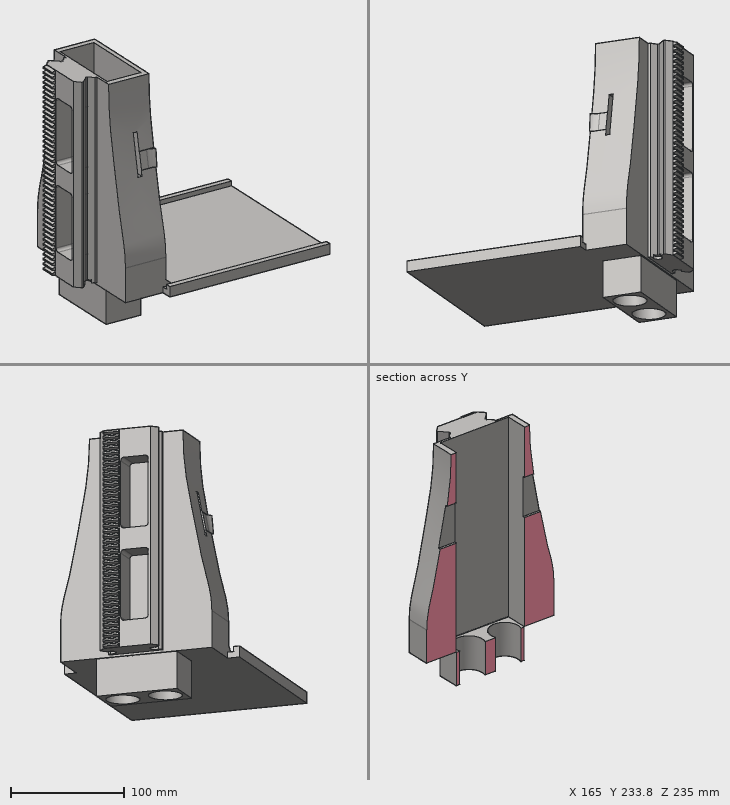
import cadquery as cq


TRAY_WIDTH = 165.0
TOTAL_DEPTH = 233.83
TOTAL_HEIGHT = 234.95

TOWER_HEIGHT = 200.95
TOWER_DEPTH = 42.5
TOWER_TOP_WIDTH = 88.0
TOWER_BASE_WIDTH = 142.5
TOWER_STRAIGHT_HEIGHT = 33.6
FLANK_POINTS = [(63.9, 74.0), (55.2, 115.4)]

SOCKET_WIDTH = 76.0
SOCKET_DEPTH = 36.4
SOCKET_FRONT_SETBACK = 1.3
SOCKET_HOLE_DIAMETER = 30.0
SOCKET_HOLE_SPACING = 40.0
SOCKET_HOLE_Y = 20.0

DUCT_FRONT_WALL = 2.3

TRAY_INSET = 3.1
TRAY_LENGTH = 168.3
TRAY_THICKNESS = 5.6
TRAY_RIM_WIDTH = 5.7
TRAY_RIM_HEIGHT = 10.2
BRACE_DEPTH = 7.6
BRACE_TOP_Z = 12.0

STRAP_SLOT_SETBACK = 15.4
STRAP_SLOT_DEPTH = 4.0
STRAP_SLOT_BOTTOM_Z = 110.0
STRAP_SLOT_HEIGHT = 40.0

FLARE_BOTTOM_Z = 115.5
FLARE_HEIGHT = 17.0
FLARE_RUN = 8.0
FLARE_ROOT_HALF_WIDTH = 42.0
FLARE_TOP_TOE = 52.2
FLARE_BOTTOM_TOE = 55.6
FLARE_TOP_LIP = 55.4
FLARE_BOTTOM_LIP = 56.9

RAIL_BOTTOM_Z = 2.0
RAIL_PROJECTION = 22.6
RAIL_ROOT_HALF_WIDTH = 25.1
RAIL_NECK_HALF_WIDTH = 20.2
RAIL_HEAD_HALF_WIDTH = 27.4
RAIL_FACE_HALF_WIDTH = 21.8
RAIL_ROOT_STEP = 2.2
RAIL_NECK_START = 6.5
RAIL_NECK_END = 8.4
RAIL_HEAD_START = 15.7
RAIL_HEAD_END = 17.1

RACK_LEFT_X = -21.6
RACK_WIDTH = 14.6
RACK_TEETH = 42
RACK_PITCH = 4.75
RACK_FIRST_Z = 4.0
TOOTH_ROOT = 3.6
TOOTH_TIP = 1.5

WINDOW_LEFT_X = -6.0
WINDOW_WIDTH = 25.8
WINDOW_HEIGHT = 64.5
WINDOW_CENTRE_Z = (58.4, 142.6)
WINDOW_CORNER_RADIUS = 3.0

POCKET_DIAMETER = 8.0
POCKET_DEPTH = 2.6
POCKET_Y = -7.2

SOCKET_HEIGHT = TOTAL_HEIGHT - TOWER_HEIGHT
SOCKET_BACK_Y = SOCKET_FRONT_SETBACK + SOCKET_DEPTH
RAIL_HEIGHT = TOWER_HEIGHT - RAIL_BOTTOM_Z
STRAP_SLOT_BACK_Y = TOWER_DEPTH - STRAP_SLOT_SETBACK
TRAY_FRONT_Y = TOWER_DEPTH - TRAY_INSET
TRAY_BACK_Y = TRAY_FRONT_Y + TRAY_LENGTH
TOOTH_HEIGHT = TOTAL_DEPTH - TRAY_BACK_Y - RAIL_PROJECTION


def box(x_min, x_max, y_min, y_max, z_min, z_max):
    """Axis-aligned block between the given limits."""
    size = (x_max - x_min, y_max - y_min, z_max - z_min)
    return cq.Workplane("XY").box(*size, centered=False).translate((x_min, y_min, z_min))


def tower_body():
    """Flat-fronted tower with straight lower sides and S-curved flanks."""
    base = TOWER_BASE_WIDTH / 2
    top = TOWER_TOP_WIDTH / 2
    straight_top = TOWER_STRAIGHT_HEIGHT
    left_flank = [(-x, z) for x, z in reversed(FLANK_POINTS)]
    up = (0, 1)
    down = (0, -1)
    return (
        cq.Workplane("XZ", origin=(0, TOWER_DEPTH, 0))
        .moveTo(-base, 0)
        .lineTo(base, 0)
        .lineTo(base, straight_top)
        .spline(
            FLANK_POINTS + [(top, TOWER_HEIGHT)],
            tangents=[up, up],
            includeCurrent=True,
        )
        .lineTo(-top, TOWER_HEIGHT)
        .spline(
            left_flank + [(-base, straight_top)],
            tangents=[down, down],
            includeCurrent=True,
        )
        .close()
        .extrude(TOWER_DEPTH)
    )


def socket():
    """Block under the tower that takes the two round tubes."""
    half = SOCKET_WIDTH / 2
    return box(-half, half, SOCKET_FRONT_SETBACK, SOCKET_BACK_Y, -SOCKET_HEIGHT, 0)


def duct_void():
    """Rectangular void from the tower top down to the socket."""
    half = SOCKET_WIDTH / 2
    return box(-half, half, DUCT_FRONT_WALL, SOCKET_BACK_Y, 0, TOWER_HEIGHT)


def socket_holes():
    """Two round tube holes through the socket, opening into the duct."""
    half_spacing = SOCKET_HOLE_SPACING / 2
    return (
        cq.Workplane("XY", origin=(0, 0, -SOCKET_HEIGHT))
        .pushPoints([(-half_spacing, SOCKET_HOLE_Y), (half_spacing, SOCKET_HOLE_Y)])
        .circle(SOCKET_HOLE_DIAMETER / 2)
        .extrude(SOCKET_HEIGHT)
    )


def tray():
    """Flat tray behind the tower with a raised rim along each side."""
    half = TRAY_WIDTH / 2
    rim_inner = half - TRAY_RIM_WIDTH
    plate = box(-half, half, TRAY_FRONT_Y, TRAY_BACK_Y, 0, TRAY_THICKNESS)
    left_rim = box(-half, -rim_inner, TRAY_FRONT_Y, TRAY_BACK_Y, 0, TRAY_RIM_HEIGHT)
    return plate.union(left_rim).union(left_rim.mirror("YZ"))


def brace():
    """Sloped wedge stiffening the corner between tray and tower."""
    return (
        cq.Workplane("YZ", origin=(-TOWER_BASE_WIDTH / 2, 0, 0))
        .moveTo(TRAY_FRONT_Y, 0)
        .lineTo(TOWER_DEPTH + BRACE_DEPTH, 0)
        .lineTo(TOWER_DEPTH + BRACE_DEPTH, TRAY_THICKNESS)
        .lineTo(TOWER_DEPTH, BRACE_TOP_Z)
        .lineTo(TRAY_FRONT_Y, BRACE_TOP_Z)
        .close()
        .extrude(TOWER_BASE_WIDTH)
    )


def strap_slot():
    """Slot running through both flanks of the tower."""
    half = TOWER_BASE_WIDTH / 2
    front = STRAP_SLOT_BACK_Y - STRAP_SLOT_DEPTH
    bottom = STRAP_SLOT_BOTTOM_Z
    top = bottom + STRAP_SLOT_HEIGHT
    return box(-half, half, front, STRAP_SLOT_BACK_Y, bottom, top)


def flare_section(z, toe, lip):
    """Section of the flare: straight from the strap slot, then curving out to the back corner."""
    return (
        cq.Workplane("XY", origin=(0, 0, z))
        .moveTo(-FLARE_ROOT_HALF_WIDTH, STRAP_SLOT_BACK_Y)
        .lineTo(-toe, STRAP_SLOT_BACK_Y)
        .lineTo(-toe, TOWER_DEPTH - FLARE_RUN)
        .tangentArcPoint((-lip, TOWER_DEPTH), relative=False)
        .lineTo(-FLARE_ROOT_HALF_WIDTH, TOWER_DEPTH)
        .close()
        .val()
    )


def strap_flare():
    """Curved lip on the left flank that leads a strap from the slot to the back corner."""
    bottom = flare_section(FLARE_BOTTOM_Z, FLARE_BOTTOM_TOE, FLARE_BOTTOM_LIP)
    top = flare_section(FLARE_BOTTOM_Z + FLARE_HEIGHT, FLARE_TOP_TOE, FLARE_TOP_LIP)
    return cq.Workplane(cq.Solid.makeLoft([bottom, top], True))


def rail():
    """Dovetail rail up the front of the tower."""
    right_side = [
        (RAIL_ROOT_HALF_WIDTH, 0),
        (RAIL_ROOT_HALF_WIDTH, -RAIL_ROOT_STEP),
        (RAIL_NECK_HALF_WIDTH, -RAIL_NECK_START),
        (RAIL_NECK_HALF_WIDTH, -RAIL_NECK_END),
        (RAIL_HEAD_HALF_WIDTH, -RAIL_HEAD_START),
        (RAIL_HEAD_HALF_WIDTH, -RAIL_HEAD_END),
        (RAIL_FACE_HALF_WIDTH, -RAIL_PROJECTION),
    ]
    left_side = [(-x, y) for x, y in reversed(right_side)]
    return (
        cq.Workplane("XY", origin=(0, 0, RAIL_BOTTOM_Z))
        .polyline(right_side + left_side)
        .close()
        .extrude(RAIL_HEIGHT)
    )


def rack_teeth():
    """Column of tapered gear teeth on the rail face."""
    face = -RAIL_PROJECTION
    tip = face - TOOTH_HEIGHT
    teeth = []
    for index in range(RACK_TEETH):
        z = RACK_FIRST_Z + index * RACK_PITCH
        tooth = (
            cq.Workplane("YZ", origin=(RACK_LEFT_X, 0, z))
            .moveTo(face, -TOOTH_ROOT / 2)
            .lineTo(tip, -TOOTH_TIP / 2)
            .lineTo(tip, TOOTH_TIP / 2)
            .lineTo(face, TOOTH_ROOT / 2)
            .close()
            .extrude(RACK_WIDTH)
        )
        teeth.append(tooth)
    return teeth


def windows():
    """Round-cornered pockets through the depth of the rail."""
    x = WINDOW_LEFT_X + WINDOW_WIDTH / 2
    return (
        cq.Workplane("XZ")
        .pushPoints([(x, z) for z in WINDOW_CENTRE_Z])
        .rect(WINDOW_WIDTH, WINDOW_HEIGHT)
        .extrude(RAIL_PROJECTION)
        .edges("|Y")
        .fillet(WINDOW_CORNER_RADIUS)
    )


def rail_pockets():
    """Blind round pockets in the bottom end of the rail, open to the rail grooves."""
    return (
        cq.Workplane("XY", origin=(0, 0, RAIL_BOTTOM_Z))
        .pushPoints([(-RAIL_NECK_HALF_WIDTH, POCKET_Y), (RAIL_NECK_HALF_WIDTH, POCKET_Y)])
        .circle(POCKET_DIAMETER / 2)
        .extrude(POCKET_DEPTH)
    )


flare = strap_flare()
tower = tower_body().union(flare).union(flare.mirror("YZ")).cut(duct_void()).cut(strap_slot())
guide = rail().cut(windows()).cut(rail_pockets())
for tooth in rack_teeth():
    guide = guide.union(tooth)

result = (
    tower.union(tray())
    .union(brace())
    .union(socket())
    .cut(socket_holes())
    .union(guide)
)